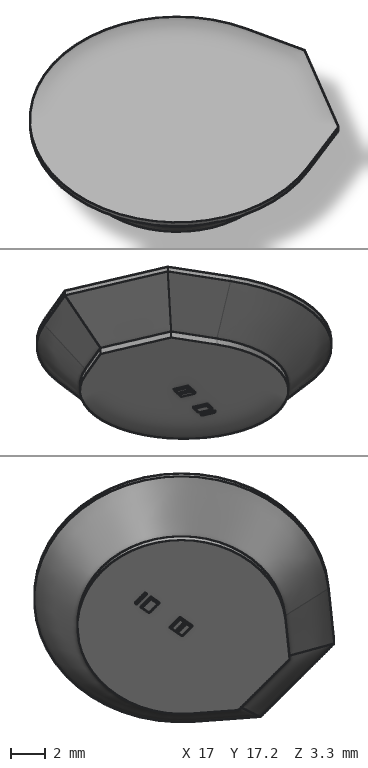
import cadquery as cq
import math

head_radius = 8.48
head_flat_y = 8.69

foot_height = 0.4
cone_height = 2.49
rim_height = 0.31

foot_inset = cone_height

rib_height = 0.1
rib_length = 0.93
rib_side_inset = 0.06
rib_places = [
    (0.2, 0.46),
    (-0.3, 0.43),
    (-2.37, 0.65),
    (-3.05, 0.14),
]


def outline(z, inset):
    """Closed head outline at height z, moved inward by inset."""
    radius = head_radius - inset
    flat_y = head_flat_y - inset
    tangent = radius * math.sqrt(0.5)
    corner_x = radius * math.sqrt(2) - flat_y
    return (
        cq.Workplane("XY", origin=(0, 0, z))
        .moveTo(-corner_x, flat_y)
        .lineTo(corner_x, flat_y)
        .lineTo(tangent, tangent)
        .threePointArc((0, -radius), (-tangent, tangent))
        .close()
    )


def flank(bottom_z):
    """Sloping wall that widens from the foot to the rim."""
    lower = outline(bottom_z, foot_inset).wires().val()
    upper = outline(bottom_z + cone_height, 0).wires().val()
    return cq.Workplane(cq.Solid.makeLoft([lower, upper], True))


def rib(center_y, width):
    """Rib that hangs below the foot and narrows toward its tip."""
    draft = math.degrees(math.atan(rib_side_inset / rib_height))
    return (
        cq.Workplane("XY")
        .center(0, center_y)
        .rect(rib_length, width)
        .extrude(-rib_height, taper=draft)
    )


foot = outline(0, foot_inset).extrude(foot_height)
rim = outline(foot_height + cone_height, 0).extrude(rim_height)
result = foot.union(flank(foot_height)).union(rim)

for center_y, width in rib_places:
    result = result.union(rib(center_y, width))